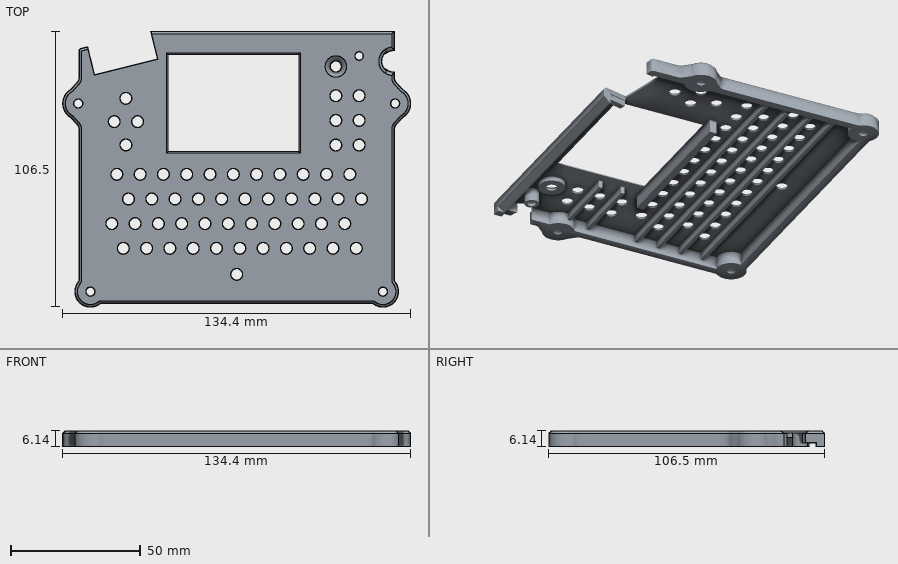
import cadquery as cq
import math

height = 6.14
half_length_x = 134.43 / 2
half_length_y = 106.52 / 2

side_x = 60.9
back_y = half_length_y
front_y = -51.8
wall = 3.3
plate = 0.8
ceiling = height - plate
rim_chamfer = 1.0

upper_lug_radius = half_length_x - side_x
upper_lug_y = 25.4
upper_lug_hole_x = 61.2
web_base = 8.95
web_tip = 5.4
web_reach = 3.2
web_base_blend = 2.5
web_tip_blend = 1.0

lower_lug_radius = 6.0
lower_lug_x = 56.5
lower_lug_y = lower_lug_radius - half_length_y
lower_lug_blend = 1.5
lug_hole_diameter = 3.4

notch_angle = 14.0
notch_corner = (-54.9, 36.5)
notch_width = 25.1
notch_depth = 30.0
slant_start_y = 46.5
slant_corner_blend = 1.2

notch_edge_thickness = 1.9
notch_rib_bottom = 1.9
notch_rib_setback = 0.4
notch_rib_width = 2.6
notch_rib_length = 10.0

side_cut_radius = 4.1
side_cut_x = 60.4
side_cut_y = 41.7
side_cut_flare = 1.4

gap_height = 1.5
relief_height = 1.8
relief_flat = 0.4
relief_width = 2.8

screen_left = -27.1
screen_right = 24.6
screen_bottom = 6.3
screen_top = 44.9
screen_chamfer = 0.6

button_diameter = 4.45
button_pitch = 9.0
row_pitch = 9.525
keys_per_row = 11
first_row_y = -1.95
row_starts = [-46.3, -41.8, -48.25, -43.8]
space_key = (0.0, -40.6)
pad_x = -42.8
pad_y = 18.4
pad_reach_x = button_pitch / 2
pad_reach_y = button_pitch
side_columns = [38.3, 38.3 + button_pitch]
side_first_y = 28.4
side_rows = 3

rib_offset = 4.0
rib_width = row_pitch - 2 * rib_offset
rib_drop = 3.0
side_rib_left = screen_right + wall
screen_rib_left = -31.0
screen_rib_right = 31.5
screen_rib_front = 3.35

countersink_x = side_columns[0]
countersink_y = 39.7
countersink_hole = 4.25
countersink_depth = 2.0
countersink_pad_radius = 5.2
countersink_pad_thickness = 2.6
post_x = side_columns[1]
post_y = 43.75
post_diameter = 5.7
post_hole = 3.2

slant_end_x = -side_x + (back_y - slant_start_y) / math.tan(math.radians(notch_angle))
upper_lugs = [(-side_x, upper_lug_y), (side_x, upper_lug_y)]
lower_lugs = [(-lower_lug_x, lower_lug_y), (lower_lug_x, lower_lug_y)]
lug_holes = [(-upper_lug_hole_x, upper_lug_y), (upper_lug_hole_x, upper_lug_y)] + lower_lugs


def block(x0, x1, y0, y1, z0, z1):
    """Box given by its limits along each axis."""
    return cq.Workplane("XY").box(x1 - x0, y1 - y0, z1 - z0, centered=False).translate((x0, y0, z0))


def rods(points, diameter, z0, z1):
    """Upright cylinders at the given points."""
    plane = cq.Workplane("XY").workplane(offset=z0)
    return plane.pushPoints(points).circle(diameter / 2).extrude(z1 - z0)


def round_upright_edge(solid, x, y, radius):
    """Fillet the vertical edge that stands at (x, y)."""
    reach = 0.4
    nearby = cq.selectors.BoxSelector((x - reach, y - reach, 0), (x + reach, y + reach, height))
    return solid.edges("|Z").edges(nearby).fillet(radius)


def body_outline():
    """Outline of the body; its front corners end inside the lower lugs."""
    points = [
        (-side_x, lower_lug_y),
        (-lower_lug_x, front_y),
        (lower_lug_x, front_y),
        (side_x, lower_lug_y),
        (side_x, back_y),
        (slant_end_x, back_y),
        (-side_x, slant_start_y),
    ]
    return cq.Workplane("XY").polyline(points).close()


def lug_solids(top):
    """The four screw lugs and the webs of the upper two."""
    discs = rods(upper_lugs, 2 * upper_lug_radius, 0, top)
    discs = discs.union(rods(lower_lugs, 2 * lower_lug_radius, 0, top))
    tip_x = side_x + web_reach
    web_points = [
        (side_x, upper_lug_y - web_base),
        (tip_x, upper_lug_y - web_tip),
        (tip_x, upper_lug_y + web_tip),
        (side_x, upper_lug_y + web_base),
    ]
    web = cq.Workplane("XY").polyline(web_points).close().extrude(top)
    return discs.union(web).union(web.mirror("YZ"))


def blend_lugs(body):
    """Round the inside corners between lugs, webs and walls."""
    side_joint_y = lower_lug_y + math.sqrt(lower_lug_radius**2 - (side_x - lower_lug_x) ** 2)
    front_joint_x = lower_lug_x - math.sqrt(lower_lug_radius**2 - (lower_lug_y - front_y) ** 2)
    for side in (-1, 1):
        for end in (-1, 1):
            base_y = upper_lug_y + end * web_base
            tip_y = upper_lug_y + end * web_tip
            body = round_upright_edge(body, side * side_x, base_y, web_base_blend)
            body = round_upright_edge(body, side * (side_x + web_reach), tip_y, web_tip_blend)
        body = round_upright_edge(body, side * side_x, side_joint_y, lower_lug_blend)
        body = round_upright_edge(body, side * front_joint_x, front_y, lower_lug_blend)
    return body


def shell():
    """Hollow tray with solid lugs and a chamfered top rim."""
    body = blend_lugs(body_outline().extrude(height).union(lug_solids(height)))
    body = round_upright_edge(body, -side_x, slant_start_y, slant_corner_blend)
    body = body.faces(">Z").edges().chamfer(rim_chamfer)
    cavity = body_outline().offset2D(-wall, "intersection").extrude(ceiling)
    return body.cut(cavity).union(lug_solids(height - rim_chamfer))


def cross_ribs():
    """Ribs along X: one ahead of the screen, the rest between button rows."""
    rib_end = side_x - wall / 2
    rib_bottom = ceiling - rib_drop
    ribs = block(screen_rib_left, screen_rib_right, screen_rib_front, screen_bottom, 0, ceiling)
    for row in range(1, len(row_starts) + 1):
        y = first_row_y - row * row_pitch + rib_offset
        ribs = ribs.union(block(-rib_end, rib_end, y, y + rib_width, rib_bottom, ceiling))
    for row in range(1, side_rows):
        y = side_first_y - row * row_pitch + rib_offset
        ribs = ribs.union(block(side_rib_left, rib_end, y, y + rib_width, rib_bottom, ceiling))
    return ribs


def along_notch(solid):
    """Move a solid from notch axes, with the notch corner at the origin, into place."""
    return solid.rotate((0, 0, 0), (0, 0, 1), notch_angle).translate((*notch_corner, 0))


def notch_edge():
    rib_start = notch_width + notch_rib_setback
    rib_end = rib_start + notch_rib_width
    edge = block(notch_width, rib_end, 0, notch_rib_length, height - notch_edge_thickness, ceiling)
    rib = block(rib_start, rib_end, 0, notch_rib_length, notch_rib_bottom, ceiling)
    return along_notch(edge.union(rib))


def connector_notch():
    return along_notch(block(0, notch_width, 0, notch_depth, 0, height))


def screen_window():
    """Rectangular window with a chamfered top edge."""
    centre_x = (screen_left + screen_right) / 2
    centre_y = (screen_bottom + screen_top) / 2
    mouth = cq.Workplane("XY", origin=(centre_x, centre_y, height))
    mouth = mouth.rect(screen_right - screen_left, screen_top - screen_bottom)
    flare = mouth.extrude(-screen_chamfer, taper=45)
    opening = block(
        screen_left + screen_chamfer,
        screen_right - screen_chamfer,
        screen_bottom + screen_chamfer,
        screen_top - screen_chamfer,
        0,
        height,
    )
    return opening.union(flare)


def cone(x, y, bottom_radius, top_radius, depth):
    """Upright cone that ends flush with the top face."""
    base = cq.Vector(x, y, height - depth)
    return cq.Workplane(cq.Solid.makeCone(bottom_radius, top_radius, depth, pnt=base))


def side_cut():
    """Round-ended slot through the right wall, flared at the top."""
    flare_radius = side_cut_radius + side_cut_flare
    flare_z = height - rim_chamfer
    slot_length = side_x + side_cut_radius - side_cut_x
    section = [
        (side_cut_y - side_cut_radius, 0),
        (side_cut_y + side_cut_radius, 0),
        (side_cut_y + side_cut_radius, flare_z),
        (side_cut_y + flare_radius, height),
        (side_cut_y - flare_radius, height),
        (side_cut_y - side_cut_radius, flare_z),
    ]
    slot = cq.Workplane("YZ", origin=(side_cut_x, 0, 0)).polyline(section).close().extrude(slot_length)
    slot = slot.union(rods([(side_cut_x, side_cut_y)], 2 * side_cut_radius, 0, height))
    return slot.union(cone(side_cut_x, side_cut_y, side_cut_radius, flare_radius, rim_chamfer))


def right_wall_gap():
    """Opening under the right wall, from the side cut-out to the back wall."""
    return block(side_x - 2 * wall, half_length_x, side_cut_y, back_y - wall, 0, gap_height)


def back_relief():
    """Bevel under the outer edge of the back wall, from the notch to the right wall."""
    section = [
        (back_y, 0),
        (back_y, relief_height),
        (back_y - relief_flat, relief_height),
        (back_y - relief_width, 0),
    ]
    length = side_x - wall - slant_end_x
    return cq.Workplane("YZ", origin=(slant_end_x, 0, 0)).polyline(section).close().extrude(length)


def button_centres():
    centres = [space_key]
    for row, start_x in enumerate(row_starts):
        for key in range(keys_per_row):
            centres.append((start_x + key * button_pitch, first_row_y - row * row_pitch))
    for sign in (-1, 1):
        centres.append((pad_x + sign * pad_reach_x, pad_y))
        centres.append((pad_x, pad_y + sign * pad_reach_y))
    for x in side_columns:
        for row in range(side_rows):
            centres.append((x, side_first_y - row * row_pitch))
    return centres


def round_holes():
    """Button, screw and countersunk holes, all through."""
    holes = rods(button_centres(), button_diameter, 0, height)
    holes = holes.union(rods(lug_holes, lug_hole_diameter, 0, height))
    holes = holes.union(rods([(post_x, post_y)], post_hole, 0, height))
    holes = holes.union(rods([(countersink_x, countersink_y)], countersink_hole, 0, height))
    hole_radius = countersink_hole / 2
    mouth_radius = hole_radius + countersink_depth
    return holes.union(cone(countersink_x, countersink_y, hole_radius, mouth_radius, countersink_depth))


def bosses():
    """Pad around the countersunk hole, and the full-height screw post."""
    pad_bottom = height - countersink_pad_thickness
    pad = rods([(countersink_x, countersink_y)], 2 * countersink_pad_radius, pad_bottom, ceiling)
    return pad.union(rods([(post_x, post_y)], post_diameter, 0, ceiling))


result = shell().union(cross_ribs()).union(notch_edge()).union(bosses())
result = result.cut(connector_notch()).cut(screen_window()).cut(side_cut())
result = result.cut(right_wall_gap()).cut(back_relief()).cut(round_holes())